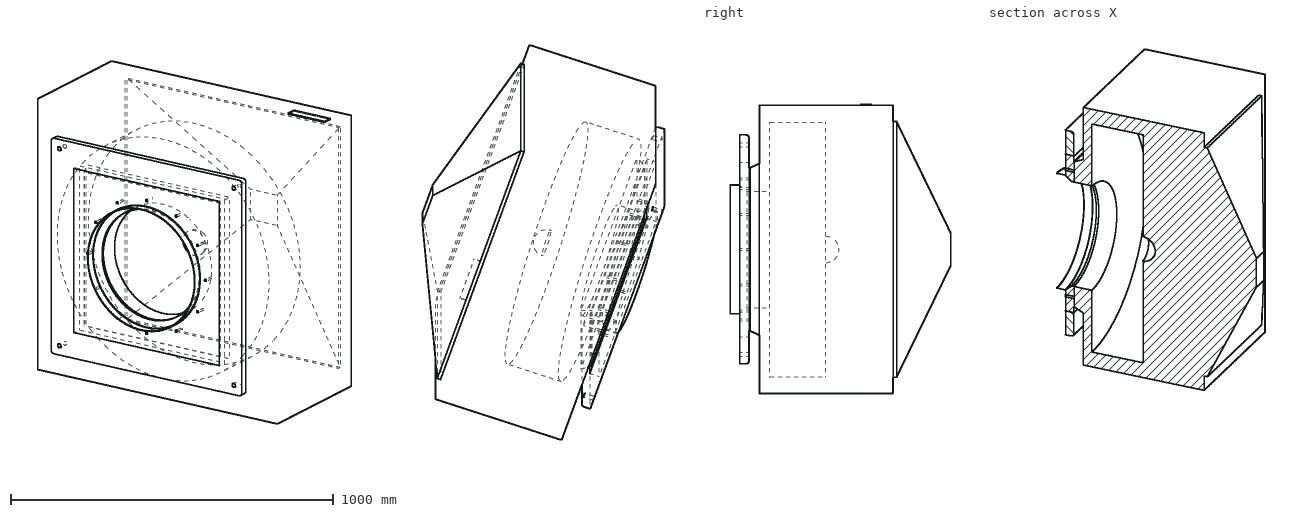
import cadquery as cq
import math


HOUSING_SIDE = 894.0
HOUSING_DEPTH = 414.0
HOUSING_EDGE_RADIUS = 3.0
HOOD_BASE_SIDE = 794.0
HOOD_RIM_DEPTH = 11.0
HOOD_DEPTH = 179.0
HOOD_TIP_SIDE = 100.0
NECK_BASE_SIDE = 533.0
NECK_FRONT_SIDE = 506.0
NECK_DEPTH = 31.0
NECK_RIM_DEPTH = 3.0

PAD_HEIGHT = 897 - HOUSING_SIDE
PAD_LENGTH = 136.0
PAD_WIDTH = 32.0
PAD_CENTER_X = 345.0
PAD_CENTER_Y = 330.0

PLATE_SIDE = 710.0
PLATE_THICKNESS = 30.0
PLATE_CORNER_RADIUS = 12.0
PLATE_BACK_RADIUS = 11.0
PLATE_HOLE_SPACING = 649.0
PLATE_HOLE_DIAMETER = 13.0

PANEL_SIDE = 541.0
SPIGOT_RADIUS = 200.0
SPIGOT_WALL = 2.0
SPIGOT_LENGTH = 30.0
PANEL_LAND = 8.0
BOLT_COUNT = 12
BOLT_CIRCLE_RADIUS = 219.0
BOLT_HOLE_DIAMETER = 6.0

THROAT_RADIUS = 180.0
THROAT_END = 30.5
CHAMBER_RADIUS = 395.0
CHAMBER_END = 204.5
HUB_DIMPLE_RADIUS = 41.0

PLATE_BACK = -NECK_DEPTH
PLATE_FRONT = PLATE_BACK - PLATE_THICKNESS
SPIGOT_FRONT = PLATE_FRONT - SPIGOT_LENGTH


def block(side, y_front, y_back):
    """Square block centred on the fan axis."""
    depth = y_back - y_front
    return cq.Workplane("XY").box(side, depth, side).translate((0, y_front + depth / 2, 0))


def disc(radius, y_front, y_back):
    """Cylinder on the fan axis."""
    return cq.Workplane("XZ", origin=(0, y_back, 0)).circle(radius).extrude(y_back - y_front)


def turned(profile):
    """Solid of revolution about the fan axis from (radius, Y) points."""
    return cq.Workplane("XY").polyline(profile).close().revolve(360, (0, 0, 0), (0, 1, 0))


def square_taper(front_side, back_side, y_front, y_back):
    """Square frustum centred on the fan axis."""
    return (
        cq.Workplane("XZ", origin=(0, y_back, 0))
        .rect(back_side, back_side)
        .workplane(offset=y_back - y_front)
        .rect(front_side, front_side)
        .loft(ruled=True)
    )


def through_holes(points, diameter):
    """Holes along Y through the full thickness of the plate."""
    return (
        cq.Workplane("XZ", origin=(0, PLATE_BACK, 0))
        .pushPoints(points)
        .circle(diameter / 2)
        .extrude(PLATE_THICKNESS)
    )


def make_mark_pad():
    bottom = HOUSING_SIDE / 2 - HOUSING_EDGE_RADIUS
    top = HOUSING_SIDE / 2 + PAD_HEIGHT
    return (
        cq.Workplane("XY", origin=(PAD_CENTER_X, PAD_CENTER_Y, bottom))
        .rect(PAD_LENGTH, PAD_WIDTH)
        .extrude(top - bottom)
    )


def make_air_passage():
    """Throat, wider chamber behind it, and the round dimple in the chamber floor."""
    profile = [
        (0, PLATE_BACK),
        (THROAT_RADIUS, PLATE_BACK),
        (THROAT_RADIUS, THROAT_END),
        (CHAMBER_RADIUS, THROAT_END),
        (CHAMBER_RADIUS, CHAMBER_END),
        (0, CHAMBER_END),
    ]
    dimple = cq.Workplane("XY").sphere(HUB_DIMPLE_RADIUS).translate((0, CHAMBER_END, 0))
    return turned(profile).union(dimple)


def make_housing():
    rim_back = HOUSING_DEPTH + HOOD_RIM_DEPTH
    body = block(HOUSING_SIDE, 0, HOUSING_DEPTH).edges().fillet(HOUSING_EDGE_RADIUS)
    hood_rim = block(HOOD_BASE_SIDE, HOUSING_DEPTH, rim_back)
    hood = square_taper(HOOD_BASE_SIDE, HOOD_TIP_SIDE, rim_back, HOUSING_DEPTH + HOOD_DEPTH)
    neck_rim_back = PLATE_BACK + NECK_RIM_DEPTH
    neck_rim = block(NECK_FRONT_SIDE, PLATE_BACK, neck_rim_back)
    neck = square_taper(NECK_FRONT_SIDE, NECK_BASE_SIDE, neck_rim_back, 0)
    outside = body.union(hood_rim).union(hood).union(neck).union(neck_rim).union(make_mark_pad())
    return outside.cut(make_air_passage())


def make_mounting_plate():
    plate = (
        block(PLATE_SIDE, PLATE_FRONT, PLATE_BACK)
        .edges("|Y")
        .fillet(PLATE_CORNER_RADIUS)
        .faces(">Y")
        .fillet(PLATE_BACK_RADIUS)
    )
    reach = PLATE_HOLE_SPACING / 2
    corners = [(x, z) for x in (-reach, reach) for z in (-reach, reach)]
    opening = block(PANEL_SIDE, PLATE_FRONT, PLATE_BACK)
    return plate.cut(opening).cut(through_holes(corners, PLATE_HOLE_DIAMETER))


def make_inlet_bore():
    """Straight bore in the spigot, a cone narrowing to the throat, and a short straight land."""
    bore_radius = SPIGOT_RADIUS - SPIGOT_WALL
    profile = [
        (0, SPIGOT_FRONT),
        (bore_radius, SPIGOT_FRONT),
        (bore_radius, PLATE_FRONT),
        (THROAT_RADIUS, PLATE_BACK - PANEL_LAND),
        (THROAT_RADIUS, PLATE_BACK),
        (0, PLATE_BACK),
    ]
    return turned(profile)


def make_inlet_panel():
    panel = block(PANEL_SIDE, PLATE_FRONT, PLATE_BACK)
    spigot = disc(SPIGOT_RADIUS, SPIGOT_FRONT, PLATE_BACK)
    angles = [2 * math.pi * i / BOLT_COUNT for i in range(BOLT_COUNT)]
    bolts = [(BOLT_CIRCLE_RADIUS * math.cos(a), BOLT_CIRCLE_RADIUS * math.sin(a)) for a in angles]
    return panel.union(spigot).cut(make_inlet_bore()).cut(through_holes(bolts, BOLT_HOLE_DIAMETER))


housing = make_housing()
mounting_plate = make_mounting_plate()
inlet_panel = make_inlet_panel()

result = cq.Compound.makeCompound([housing.val(), mounting_plate.val(), inlet_panel.val()])